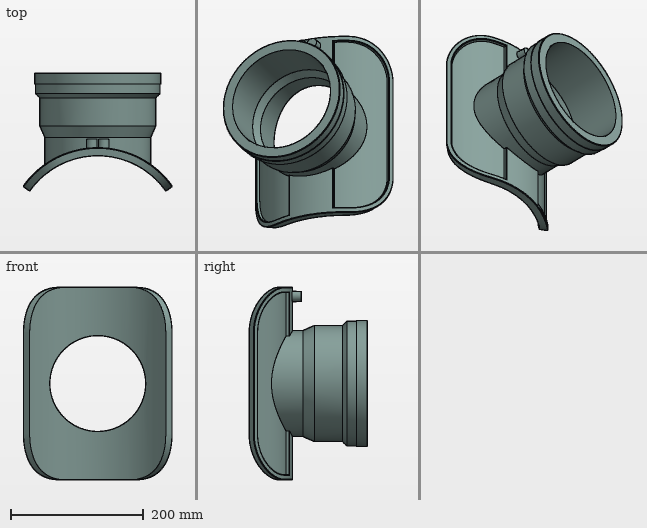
import cadquery as cq
import math

saddle_inner_radius = 125.0
saddle_outer_radius = 137.35
saddle_height = 290.0
saddle_half_angle = 55.0
saddle_corner_radius = 68.0
edge_chamfer = 1.0

pocket_depth = 5.0
pocket_floor_radius = saddle_outer_radius - pocket_depth
pocket_margin = 8.0
rib_half_width = 36.0

branch_end_y = 249.83
lip_diameter = 190.0
collar_diameter = 188.1
socket_diameter = 175.0
neck_diameter = 160.0
lip_length = 16.5
collar_end = 31.0
socket_start = 37.5
socket_end = 80.0
neck_start = 97.0

neck_bore_diameter = 144.0
socket_bore_diameter = 159.0
bore_cone_start = socket_end
bore_cone_end = 93.0

terminal_spacing = 18.0
terminal_z = 131.0
terminal_tip_diameter = 15.0
terminal_base_diameter = 17.0
terminal_tip_y = 150.5
terminal_embedment = 4.0
terminal_root_y = saddle_outer_radius - terminal_embedment

far = 2 * saddle_outer_radius
radius_tolerance = 1e-3


def rounded_end_block(side, inset, corner_radius):
    """Block that covers everything inward of one end face and has its corners rounded."""
    return (
        cq.Workplane("XY")
        .box(2 * far, 2 * far, saddle_height - 2 * inset)
        .edges("|Y")
        .fillet(corner_radius)
        .translate((-side * (inset + far), 0, 0))
        .rotate((0, 0, 0), (0, 0, 1), -side * saddle_half_angle)
    )


def sector(inner_radius, outer_radius, inset, corner_radius):
    """Tube sector with every side face moved in by inset and its four corners rounded."""
    body = (
        cq.Workplane("XY")
        .circle(outer_radius)
        .circle(inner_radius)
        .extrude(saddle_height / 2, both=True)
    )
    for side in (-1, 1):
        body = body.intersect(rounded_end_block(side, inset, corner_radius))
    return body


def lies_on_outer_radius(vertex):
    return abs(math.hypot(vertex.X, vertex.Y) - saddle_outer_radius) < radius_tolerance


def outer_surface_edges(body):
    """Edges that bound the outer cylindrical surface of the saddle, around the rim, rib and pockets."""
    edges = []
    for face in body.faces("%CYLINDER").vals():
        if all(lies_on_outer_radius(vertex) for vertex in face.Vertices()):
            edges.extend(face.Edges())
    return body.newObject(edges)


def make_saddle():
    saddle = sector(saddle_inner_radius, saddle_outer_radius, 0, saddle_corner_radius)
    pocket = sector(
        pocket_floor_radius,
        saddle_outer_radius + pocket_margin,
        pocket_margin,
        saddle_corner_radius - pocket_margin,
    )
    rib = cq.Workplane("XY").box(2 * rib_half_width, 2 * far, saddle_height)
    saddle = saddle.cut(pocket.cut(rib))
    return outer_surface_edges(saddle).chamfer(edge_chamfer)


def revolve_about_branch_axis(profile):
    return cq.Workplane("XY").polyline(profile).close().revolve(360, (0, 0, 0), (0, 1, 0))


def make_branch():
    profile = [
        (0, 0),
        (neck_diameter / 2, 0),
        (neck_diameter / 2, branch_end_y - neck_start),
        (socket_diameter / 2, branch_end_y - socket_end),
        (socket_diameter / 2, branch_end_y - socket_start),
        (collar_diameter / 2, branch_end_y - collar_end),
        (collar_diameter / 2, branch_end_y - lip_length),
        (lip_diameter / 2, branch_end_y - lip_length),
        (lip_diameter / 2, branch_end_y - edge_chamfer),
        (lip_diameter / 2 - edge_chamfer, branch_end_y),
        (0, branch_end_y),
    ]
    neck_trim = (
        cq.Workplane("XY")
        .circle((saddle_inner_radius + pocket_floor_radius) / 2)
        .extrude(saddle_height / 2, both=True)
    )
    return revolve_about_branch_axis(profile).cut(neck_trim)


def make_bore():
    return revolve_about_branch_axis([
        (0, 0),
        (neck_bore_diameter / 2, 0),
        (neck_bore_diameter / 2, branch_end_y - bore_cone_end),
        (socket_bore_diameter / 2, branch_end_y - bore_cone_start),
        (socket_bore_diameter / 2, branch_end_y),
        (0, branch_end_y),
    ])


def make_terminal(x):
    profile = [
        (0, terminal_root_y),
        (terminal_base_diameter / 2, terminal_root_y),
        (terminal_tip_diameter / 2, terminal_tip_y),
        (0, terminal_tip_y),
    ]
    return revolve_about_branch_axis(profile).translate((x, 0, terminal_z))


result = make_saddle().union(make_branch()).cut(make_bore())
for side in (-1, 1):
    result = result.union(make_terminal(side * terminal_spacing / 2))